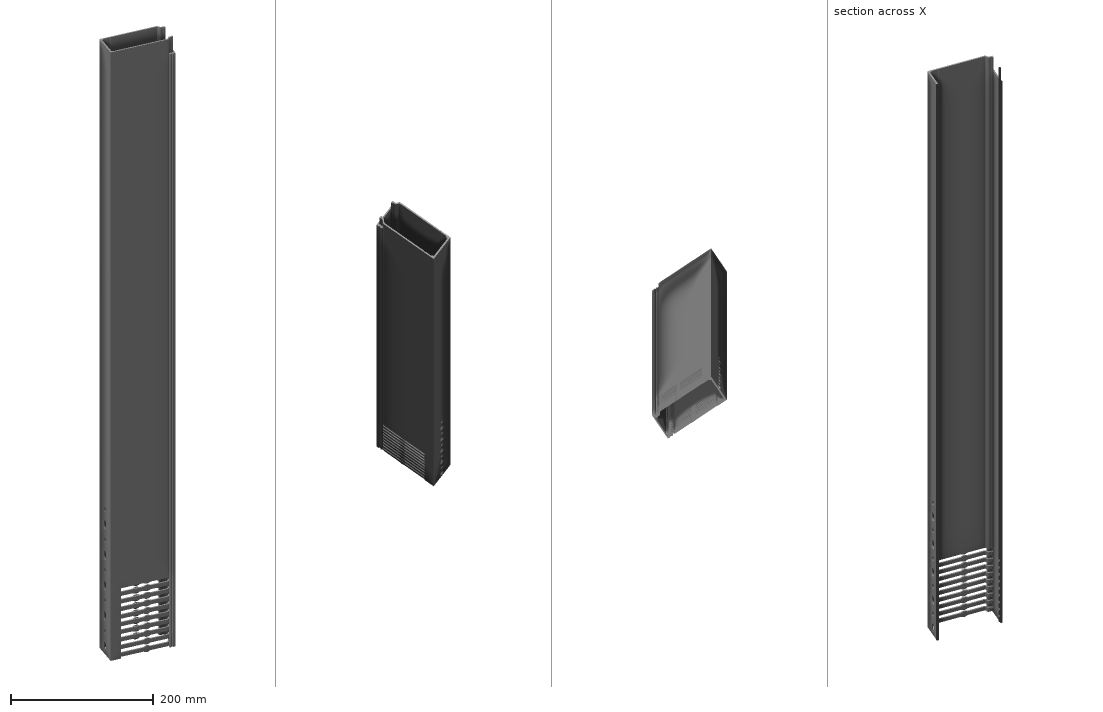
import cadquery as cq

LENGTH = 1000.0
WIDTH = 40.0
HEIGHT = 100.0
HALF_WIDTH = WIDTH / 2
FLOOR_Y = -HEIGHT / 2
COVER_Y = HEIGHT / 2

WALL = 2.0
FLOOR = 2.5
CORNER_RISE = 4.0
CORNER_RUN = 2.0
SCORE_Y = FLOOR_Y + 16.0
SCORE_WIDTH = 3.0
SCORE_DEPTH = 0.8
STEP_Y = COVER_Y - 11.0
STEP_RISE = 3.4
LEAD_IN_LENGTH = 2.5
LEAD_IN_INSET = 0.4
LIP_INSET = 4.5
FLANGE_LENGTH = 1.4
INNER_STEP_DROP = 0.9

STEP_X = HALF_WIDTH - LEAD_IN_INSET
STEP_LEAN = (LIP_INSET - LEAD_IN_INSET) / STEP_RISE

COVER_WALL = 2.0
LIP_TOP_Y = COVER_Y - COVER_WALL
COVER_LENGTH = 975.0
GROOVE_DEPTH = 1.8
GROOVE_TOP_Y = COVER_Y - 4.5
GROOVE_ROOT_Y = COVER_Y - 5.0
BEAD_TOP_Y = COVER_Y - 7.0
BEAD_BOTTOM_Y = COVER_Y - 8.3
COVER_TIP_Y = COVER_Y - 10.0

HOLE_PITCH = 25.0
SLOT_PITCH = HOLE_PITCH / 2
SLOT_COUNT = 10
SLOT_WIDTH = 6.0
SLOT_END_Y = SCORE_Y
NECK_Y = 6.0
NECK_GAP = 2.4
NECK_LENGTH = 10.0

HOLE_START = SLOT_PITCH
HOLE_PAIRS = 5
LARGE_HOLE = (14.0, 8.0)
SMALL_HOLE = (8.0, 5.0)


def mirrored_section(right_half):
    """Close a half outline (given on the +X side) with its mirror image."""
    left_half = [(-x, y) for x, y in reversed(right_half)]
    return cq.Workplane("XY").polyline(right_half + left_half).close()


def step_height(x):
    """Y of the sloped outer face of the wall step at a given X."""
    return STEP_Y + (STEP_X - x) / STEP_LEAN


def step_position(y):
    """X of the sloped outer face of the wall step at a given Y."""
    return STEP_X - (y - STEP_Y) * STEP_LEAN


def trough_blank():
    lip_x = HALF_WIDTH - LIP_INSET
    inner_x = HALF_WIDTH - WALL
    lip_inner_x = lip_x - WALL
    inner_top_y = STEP_Y + STEP_RISE - INNER_STEP_DROP
    inner_start_y = inner_top_y - (inner_x - lip_inner_x) / STEP_LEAN
    half = [
        (HALF_WIDTH, FLOOR_Y),
        (HALF_WIDTH, STEP_Y - LEAD_IN_LENGTH),
        (STEP_X, STEP_Y),
        (lip_x, STEP_Y + STEP_RISE),
        (lip_x, LIP_TOP_Y),
        (lip_inner_x - FLANGE_LENGTH, LIP_TOP_Y),
        (lip_inner_x - FLANGE_LENGTH, LIP_TOP_Y - WALL),
        (lip_inner_x, LIP_TOP_Y - WALL),
        (lip_inner_x, inner_top_y),
        (inner_x, inner_start_y),
        (inner_x, SCORE_Y + SCORE_WIDTH / 2),
        (inner_x + SCORE_DEPTH, SCORE_Y),
        (inner_x, SCORE_Y - SCORE_WIDTH / 2),
        (inner_x, FLOOR_Y + FLOOR + CORNER_RISE),
        (inner_x - CORNER_RUN, FLOOR_Y + FLOOR),
    ]
    return mirrored_section(half).extrude(LENGTH)


def slot_cutter(z):
    """Slot open at the free edge of the walls, with a neck between two rounded nubs."""
    half_slot = SLOT_WIDTH / 2
    half_gap = NECK_GAP / 2
    near_y = NECK_Y - NECK_LENGTH / 2
    far_y = NECK_Y + NECK_LENGTH / 2
    outline = (
        cq.Workplane("YZ", origin=(0, 0, z))
        .moveTo(SLOT_END_Y, half_slot)
        .lineTo(near_y, half_slot)
        .threePointArc((NECK_Y, half_gap), (far_y, half_slot))
        .lineTo(COVER_Y, half_slot)
        .lineTo(COVER_Y, -half_slot)
        .lineTo(far_y, -half_slot)
        .threePointArc((NECK_Y, -half_gap), (near_y, -half_slot))
        .lineTo(SLOT_END_Y, -half_slot)
        .close()
    )
    return outline.extrude(HALF_WIDTH, both=True)


def hole_cutter(z, size):
    """Obround hole through the floor, long along the duct."""
    floor = cq.Workplane("XZ", origin=(0, FLOOR_Y + FLOOR, z))
    return floor.slot2D(*size, angle=90).extrude(FLOOR)


def make_trough():
    trough = trough_blank()
    for i in range(SLOT_COUNT):
        trough = trough.cut(slot_cutter(i * SLOT_PITCH))
    for i in range(HOLE_PAIRS):
        large_z = HOLE_START + 2 * i * HOLE_PITCH
        trough = trough.cut(hole_cutter(large_z, LARGE_HOLE))
        trough = trough.cut(hole_cutter(large_z + HOLE_PITCH, SMALL_HOLE))
    return trough.solids()


def make_cover():
    groove_x = HALF_WIDTH - GROOVE_DEPTH
    inner_x = groove_x - COVER_WALL
    half = [
        (HALF_WIDTH, COVER_Y),
        (HALF_WIDTH, GROOVE_TOP_Y),
        (groove_x, GROOVE_ROOT_Y),
        (HALF_WIDTH, BEAD_TOP_Y),
        (HALF_WIDTH, BEAD_BOTTOM_Y),
        (step_position(COVER_TIP_Y), COVER_TIP_Y),
        (inner_x, step_height(inner_x)),
        (inner_x, LIP_TOP_Y),
    ]
    return mirrored_section(half).extrude(COVER_LENGTH)


trough = make_trough()
cover = make_cover()

result = cq.Compound.makeCompound([trough.val(), cover.val()])